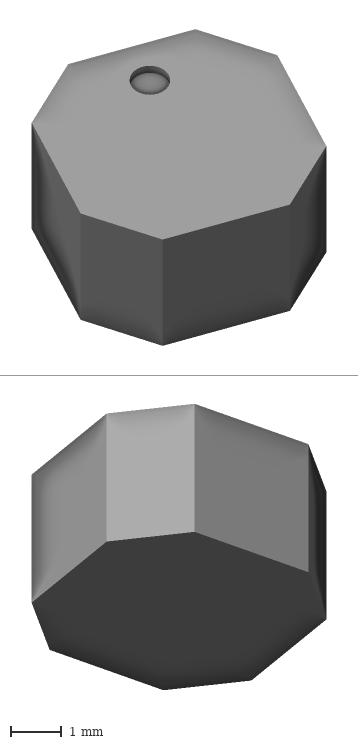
import cadquery as cq

width = 5.2
height = 3.0
corner_cut = 1.255

marker_diameter = 0.8
marker_depth = 0.2
marker_offset = 1.6

body = (
    cq.Workplane("XY")
    .box(width, width, height, centered=(True, True, False))
    .edges("|Z")
    .chamfer(corner_cut)
)

marker = (
    cq.Workplane("XY", origin=(-marker_offset, 0, height - marker_depth))
    .circle(marker_diameter / 2)
    .extrude(marker_depth)
)

result = body.cut(marker)